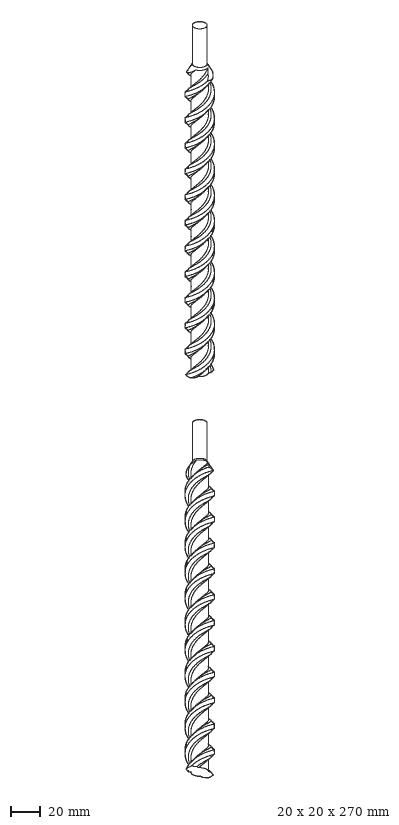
import cadquery as cq
import math

TOTAL_LENGTH = 270.0
SHANK_LENGTH = 30.0
SHANK_DIAMETER = 10.0

BODY_DIAMETER = 20.0
CORE_DIAMETER = 12.0
LEAD = 40.0
ROOT_WIDTH = 8.4
RIB_WIDTH = 9.2
RIB_SHOULDER_HEIGHT = 6.2
TIP_HALF_ANGLE = 16.0

CONE_HALF_ANGLE = 30.0
CUTTER_CLEARANCE = 2.0

body_length = TOTAL_LENGTH - SHANK_LENGTH
body_radius = BODY_DIAMETER / 2
core_radius = CORE_DIAMETER / 2
shank_radius = SHANK_DIAMETER / 2
twist_angle = 360.0 * body_length / LEAD


def rib_half_profile():
    """Corners of one flank of the +Y rib, from the core out to the tip."""
    root_x = ROOT_WIDTH / 2
    root = (root_x, math.sqrt(core_radius**2 - root_x**2))
    widest = (RIB_WIDTH / 2, RIB_SHOULDER_HEIGHT)
    tip_angle = math.radians(TIP_HALF_ANGLE)
    tip = (body_radius * math.sin(tip_angle), body_radius * math.cos(tip_angle))
    return root, widest, tip


def body_section():
    """Section at the bottom: arcs on the core and rib tips, straight flanks."""
    root, widest, tip = rib_half_profile()
    section = cq.Workplane("XY").moveTo(root[0], -root[1])
    for side in (1, -1):
        section = (
            section.threePointArc((side * core_radius, 0), (side * root[0], side * root[1]))
            .lineTo(side * widest[0], side * widest[1])
            .lineTo(side * tip[0], side * tip[1])
            .threePointArc((0, side * body_radius), (-side * tip[0], side * tip[1]))
            .lineTo(-side * widest[0], side * widest[1])
            .lineTo(-side * root[0], side * root[1])
        )
    return section.close()


def twisted_body():
    return body_section().twistExtrude(body_length, twist_angle)


def shoulder_cutter():
    """Ring that trims the top of the ribs to a cone starting at the shank."""
    cone_height = (body_radius - shank_radius) / math.tan(math.radians(CONE_HALF_ANGLE))
    radial_clearance = CUTTER_CLEARANCE * math.tan(math.radians(CONE_HALF_ANGLE))
    outer_radius = body_radius + radial_clearance
    top = body_length + CUTTER_CLEARANCE
    return (
        cq.Workplane("XZ")
        .moveTo(shank_radius - radial_clearance, top)
        .lineTo(outer_radius, body_length - cone_height - CUTTER_CLEARANCE)
        .lineTo(outer_radius, top)
        .close()
        .revolve(360, (0, 0, 0), (0, 1, 0))
    )


def shank():
    return cq.Workplane("XY", origin=(0, 0, body_length)).circle(shank_radius).extrude(SHANK_LENGTH)


result = twisted_body().cut(shoulder_cutter()).union(shank())